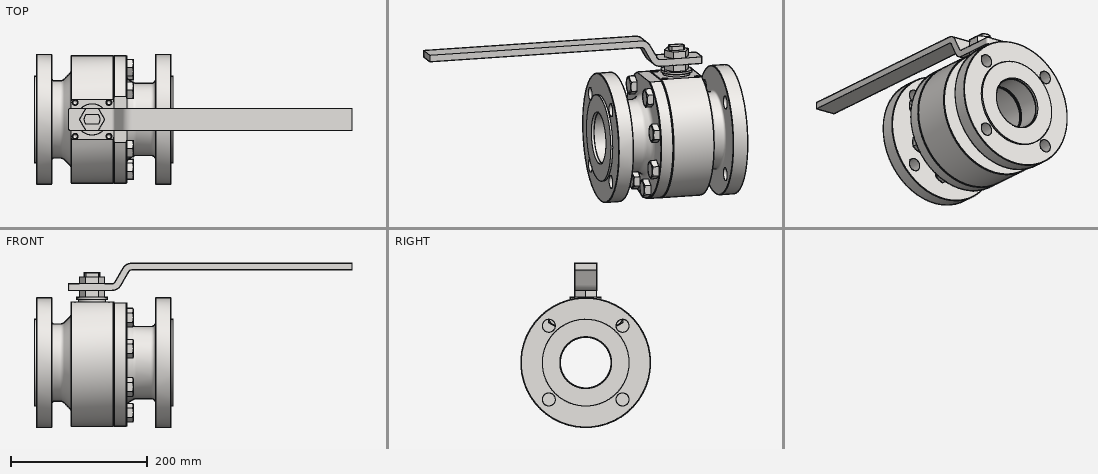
import cadquery as cq
import math


FACE_LEFT = -84.5
FACE_TO_FACE = 203.0
FACE_RIGHT = FACE_LEFT + FACE_TO_FACE
FLANGE_DIAMETER = 190.0
FLANGE_THICKNESS = 25.75
FLANGE_EDGE_CHAMFER = 0.75
RAISED_FACE_DIAMETER = 127.0
RAISED_FACE_HEIGHT = 3.0
FLANGE_HOLE_DIAMETER = 19.0
FLANGE_HOLE_CIRCLE = 152.4
FLANGE_HOLE_COUNT = 4
FLANGE_HOLE_ANGLE = 45.0

BORE_DIAMETER = 74.0
BORE_MOUTH_DIAMETER = 76.0
BORE_MOUTH_DEPTH = 4.0
SEAT_GAP_DIAMETER = 76.5
SEAT_GAP_WIDTH = 3.0
SEAT_GAP_OFFSET = 42.0

LEFT_NECK_RADIUS = 56.75
LEFT_CONE_ANGLE = 45.0
LEFT_CONE_END_RADIUS = 69.0
LEFT_ROOT_FILLET = 3.0
LEFT_CONE_FILLET = 7.0

BODY_RADIUS = 93.5
BODY_LEFT = -30.75
BODY_RIGHT = 31.75
BODY_EDGE_CHAMFER = 1.0
BODY_FLAT_HEIGHT = 88.75
COVER_RIGHT = 50.75
COVER_FLAT_HEIGHT = 87.25

RIGHT_NECK_RADIUS = 53.0
RIGHT_CONE_ANGLE = 30.0
RIGHT_CONE_END_RADIUS = 59.6
RIGHT_ROOT_FILLET = 6.0
RIGHT_CONE_FILLET = 8.0

BOLT_CIRCLE_RADIUS = 78.5
BOLT_COUNT = 8
BOLT_SPACING = 42.0
BOLT_ACROSS_FLATS = 24.0
BOLT_HEAD_HEIGHT = 10.0
BOLT_HEAD_FACE_DIAMETER = 22.45
BOLT_CHAMFER_ANGLE = 30.0

MOUNT_HOLE_DIAMETER = 6.75
MOUNT_HOLE_MOUTH_DIAMETER = 8.5
MOUNT_HOLE_DEPTH = 15.0
MOUNT_HOLE_TIP_ANGLE = 118.0
MOUNT_CIRCLE_DIAMETER = 70.0

GLAND_DIAMETER = 40.0
WASHER_DIAMETER = 45.5
WASHER_BOTTOM = 92.5
WASHER_TOP = 96.0
NUT_ACROSS_FLATS = 32.0
NUT_TOP = 125.5
STEM_DIAMETER = 23.0
STEM_WIDTH = 14.0
STEM_TOP = 131.5

LEVER_TOP = 145.5
LEVER_THICKNESS = 10.0
LEVER_WIDTH = 32.5
LEVER_SEAT = 105.5
LEVER_LEFT = -34.75
LEVER_RIGHT = 380.5
LEVER_BEND_X = 32.0
LEVER_SLOPE = 60.0
LEVER_BEND_INNER_RADIUS = 5.0
LEVER_CORNER_RADIUS = 3.5


def cylinder_x(diameter, start, end):
    """Cylinder on the bore axis between two X positions."""
    return cq.Workplane("YZ", origin=(start, 0, 0)).circle(diameter / 2).extrude(end - start)


def corner_diameter(across_flats):
    """Diameter of the circle through the corners of a hexagon."""
    return across_flats / math.cos(math.radians(30))


def flange(face, inward):
    """Flange with raised face and bolt holes; inward is the X direction from the face to the body."""
    back = face + inward * FLANGE_THICKNESS
    disc_face = face + inward * RAISED_FACE_HEIGHT
    disc = cylinder_x(FLANGE_DIAMETER, disc_face, back).edges().chamfer(FLANGE_EDGE_CHAMFER)
    raised = cylinder_x(RAISED_FACE_DIAMETER, face, back)
    holes = (
        cq.Workplane("YZ", origin=(face, 0, 0))
        .polarArray(FLANGE_HOLE_CIRCLE / 2, FLANGE_HOLE_ANGLE, 360, FLANGE_HOLE_COUNT)
        .circle(FLANGE_HOLE_DIAMETER / 2)
        .extrude(inward * FLANGE_THICKNESS)
    )
    return disc.union(raised).cut(holes)


def rounded_corner(before, corner, after, radius):
    """Start, middle and end of the arc that rounds the corner between two straight lines."""
    back = (cq.Vector(*before) - cq.Vector(*corner)).normalized()
    ahead = (cq.Vector(*after) - cq.Vector(*corner)).normalized()
    half_angle = back.getAngle(ahead) / 2
    bisector = (back + ahead).normalized()
    tangent_length = radius / math.tan(half_angle)
    middle_distance = radius / math.sin(half_angle) - radius
    return [
        (cq.Vector(*corner) + direction * distance).toTuple()[:2]
        for direction, distance in (
            (back, tangent_length),
            (bisector, middle_distance),
            (ahead, tangent_length),
        )
    ]


def neck(flange_back, seat, neck_radius, cone_angle, cone_end_radius, root_fillet, cone_fillet):
    """Neck from the back of a flange to its seat on the body, widening as a cone towards the seat."""
    outward = math.copysign(1, flange_back - seat)
    cone_length = (cone_end_radius - neck_radius) / math.tan(math.radians(cone_angle))
    outline = [
        (flange_back, BODY_RADIUS),
        (flange_back, neck_radius),
        (seat + outward * cone_length, neck_radius),
        (seat, cone_end_radius),
        (seat, BODY_RADIUS),
    ]
    radii = (root_fillet, cone_fillet, cone_fillet)
    profile = cq.Workplane("XY").moveTo(flange_back, 0)
    for index, radius in enumerate(radii, start=1):
        start, middle, end = rounded_corner(*outline[index - 1 : index + 2], radius)
        profile = profile.lineTo(*start).threePointArc(middle, end)
    return profile.lineTo(seat, 0).close().revolve(360, (0, 0, 0), (1, 0, 0))


def left_neck():
    """Neck between the left flange and the body."""
    return neck(
        FACE_LEFT + FLANGE_THICKNESS,
        BODY_LEFT,
        LEFT_NECK_RADIUS,
        LEFT_CONE_ANGLE,
        LEFT_CONE_END_RADIUS,
        LEFT_ROOT_FILLET,
        LEFT_CONE_FILLET,
    )


def right_neck():
    """Neck between the cover and the right flange."""
    return neck(
        FACE_RIGHT - FLANGE_THICKNESS,
        COVER_RIGHT,
        RIGHT_NECK_RADIUS,
        RIGHT_CONE_ANGLE,
        RIGHT_CONE_END_RADIUS,
        RIGHT_ROOT_FILLET,
        RIGHT_CONE_FILLET,
    )


def flat_topped_drum(start, end, flat_height):
    """Chamfered drum on the bore axis, cut flat across its top."""
    drum = cylinder_x(2 * BODY_RADIUS, start, end).edges().chamfer(BODY_EDGE_CHAMFER)
    keep = cq.Workplane("XY").box(
        end - start, 2 * BODY_RADIUS, BODY_RADIUS + flat_height, centered=(False, True, False)
    )
    return drum.intersect(keep.translate((start, 0, -BODY_RADIUS)))


def cover_bolts():
    """Hexagon heads evenly spaced and centred on the bottom of the cover, leaving a wider gap on top."""
    cone_height = BOLT_ACROSS_FLATS
    cone_growth = cone_height / math.tan(math.radians(BOLT_CHAMFER_ANGLE))
    head_end = COVER_RIGHT + BOLT_HEAD_HEIGHT
    head = (
        cq.Workplane("YZ", origin=(COVER_RIGHT, 0, 0))
        .transformed(rotate=(0, 0, 90))
        .polygon(6, corner_diameter(BOLT_ACROSS_FLATS))
        .extrude(BOLT_HEAD_HEIGHT)
    )
    cone = cq.Workplane(
        cq.Solid.makeCone(
            BOLT_HEAD_FACE_DIAMETER / 2 + cone_growth,
            BOLT_HEAD_FACE_DIAMETER / 2,
            cone_height,
            pnt=cq.Vector(head_end - cone_height, 0, 0),
            dir=cq.Vector(1, 0, 0),
        )
    )
    head = head.intersect(cone)
    heads = cq.Workplane("XY")
    for index in range(BOLT_COUNT):
        angle = math.radians((index - (BOLT_COUNT - 1) / 2) * BOLT_SPACING)
        place = (0, BOLT_CIRCLE_RADIUS * math.sin(angle), -BOLT_CIRCLE_RADIUS * math.cos(angle))
        heads = heads.add(head.translate(place))
    return heads


def mounting_holes():
    """Four chamfered blind holes with drill tips, evenly around the stem."""
    chamfer = (MOUNT_HOLE_MOUTH_DIAMETER - MOUNT_HOLE_DIAMETER) / 2
    tip_length = MOUNT_HOLE_DIAMETER / 2 / math.tan(math.radians(MOUNT_HOLE_TIP_ANGLE / 2))
    hole = (
        cq.Workplane("XZ")
        .moveTo(0, BODY_FLAT_HEIGHT)
        .lineTo(MOUNT_HOLE_MOUTH_DIAMETER / 2, BODY_FLAT_HEIGHT)
        .lineTo(MOUNT_HOLE_DIAMETER / 2, BODY_FLAT_HEIGHT - chamfer)
        .lineTo(MOUNT_HOLE_DIAMETER / 2, BODY_FLAT_HEIGHT - MOUNT_HOLE_DEPTH)
        .lineTo(0, BODY_FLAT_HEIGHT - MOUNT_HOLE_DEPTH - tip_length)
        .close()
        .revolve(360, (0, 0, 0), (0, 1, 0))
    )
    offset = MOUNT_CIRCLE_DIAMETER / 2 * math.sin(math.radians(45))
    holes = cq.Workplane("XY")
    for x in (-offset, offset):
        for y in (-offset, offset):
            holes = holes.add(hole.translate((x, y, 0)))
    return holes


def stem_stack():
    """Gland, washer, hexagon and flatted stem end above the body flat."""
    gland = cq.Workplane("XY", origin=(0, 0, BODY_FLAT_HEIGHT)).circle(GLAND_DIAMETER / 2)
    washer = cq.Workplane("XY", origin=(0, 0, WASHER_BOTTOM)).circle(WASHER_DIAMETER / 2)
    nuts = cq.Workplane("XY", origin=(0, 0, WASHER_TOP)).polygon(6, corner_diameter(NUT_ACROSS_FLATS))
    stem_base = cq.Workplane("XY", origin=(0, 0, NUT_TOP))
    stem_height = STEM_TOP - NUT_TOP
    stem = stem_base.circle(STEM_DIAMETER / 2).extrude(stem_height)
    flats = stem_base.rect(STEM_DIAMETER, STEM_WIDTH).extrude(stem_height)
    return (
        gland.extrude(WASHER_BOTTOM - BODY_FLAT_HEIGHT)
        .union(washer.extrude(WASHER_TOP - WASHER_BOTTOM))
        .union(nuts.extrude(NUT_TOP - WASHER_TOP))
        .union(stem.intersect(flats))
    )


def lever():
    """Flat bar cranked upwards by two opposite bends."""
    slope = math.radians(LEVER_SLOPE)
    rise = LEVER_TOP - LEVER_THICKNESS - LEVER_SEAT
    run = rise / math.tan(slope)
    shift = LEVER_THICKNESS * math.tan(slope / 2)
    lower_inner = (LEVER_BEND_X, LEVER_SEAT + LEVER_THICKNESS)
    lower_outer = (LEVER_BEND_X + shift, LEVER_SEAT)
    upper_outer = (LEVER_BEND_X + run, LEVER_TOP)
    upper_inner = (LEVER_BEND_X + shift + run, LEVER_TOP - LEVER_THICKNESS)
    bar = (
        cq.Workplane("XZ", origin=(0, LEVER_WIDTH / 2, 0))
        .moveTo(LEVER_LEFT, LEVER_SEAT)
        .lineTo(*lower_outer)
        .lineTo(*upper_inner)
        .lineTo(LEVER_RIGHT, LEVER_TOP - LEVER_THICKNESS)
        .lineTo(LEVER_RIGHT, LEVER_TOP)
        .lineTo(*upper_outer)
        .lineTo(*lower_inner)
        .lineTo(LEVER_LEFT, LEVER_SEAT + LEVER_THICKNESS)
        .close()
        .extrude(LEVER_WIDTH)
    )
    for corners, radius in (
        ((lower_inner, upper_inner), LEVER_BEND_INNER_RADIUS),
        ((lower_outer, upper_outer), LEVER_BEND_INNER_RADIUS + LEVER_THICKNESS),
    ):
        for x, z in corners:
            bar = bar.edges(cq.selectors.NearestToPointSelector((x, 0, z))).fillet(radius)
    return bar.faces("<X").edges("|Z").fillet(LEVER_CORNER_RADIUS)


def bore():
    """Through bore with a shallow recess at each mouth and a groove on each side of the ball."""
    tool = cylinder_x(BORE_DIAMETER, FACE_LEFT, FACE_RIGHT)
    for face, side in ((FACE_LEFT, -1), (FACE_RIGHT, 1)):
        mouth = cylinder_x(BORE_MOUTH_DIAMETER, face, face - side * BORE_MOUTH_DEPTH)
        gap_start = side * SEAT_GAP_OFFSET
        gap = cylinder_x(SEAT_GAP_DIAMETER, gap_start, gap_start + side * SEAT_GAP_WIDTH)
        tool = tool.union(mouth).union(gap)
    return tool


result = flat_topped_drum(BODY_LEFT, BODY_RIGHT, BODY_FLAT_HEIGHT)
result = result.union(flat_topped_drum(BODY_RIGHT, COVER_RIGHT, COVER_FLAT_HEIGHT))
result = result.union(left_neck()).union(right_neck())
result = result.union(flange(FACE_LEFT, 1)).union(flange(FACE_RIGHT, -1))
for bolt in cover_bolts().vals():
    result = result.union(cq.Workplane(bolt))
result = result.union(stem_stack()).union(lever())
for hole in mounting_holes().vals():
    result = result.cut(cq.Workplane(hole))
result = result.cut(bore())